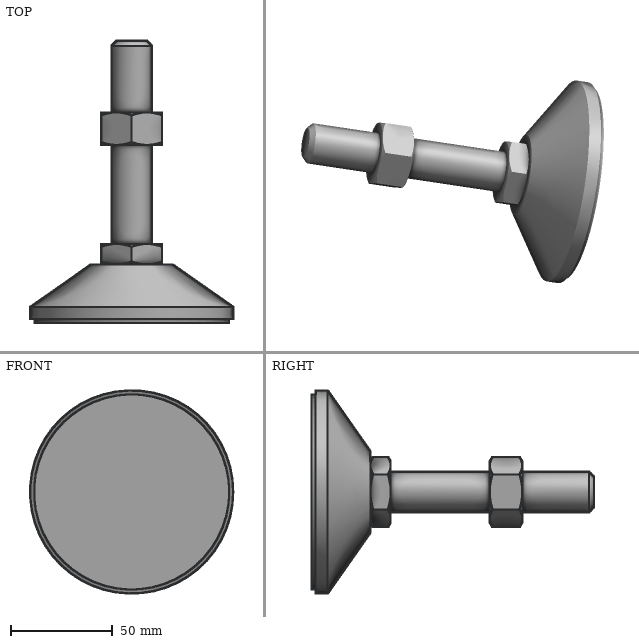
import cadquery as cq
import math


sole_diameter = 96.0
sole_height = 2.0
rim_diameter = 100.0
rim_height = 6.0
cone_top_diameter = 40.0
cone_height = 21.0

stem_diameter = 20.0
stem_end_chamfer = 2.5
overall_length = 139.0

across_flats = 30.0
nut_chamfer_angle = 30.0
base_nut_height = 10.0
lock_nut_height = 16.0
gap_between_nuts = 48.7

rim_start = sole_height
cone_start = rim_start + rim_height
foot_top = cone_start + cone_height
base_nut_start = foot_top
lock_nut_start = base_nut_start + base_nut_height + gap_between_nuts


def revolve_about_y(points):
    """Solid of revolution about the Y axis from (radius, y) points."""
    profile = cq.Workplane("XY").polyline(points).close()
    return profile.revolve(360, (0, 0, 0), (0, 1, 0))


def make_foot():
    """Stepped sole, straight rim and cone narrowing towards the stem."""
    sole_radius = sole_diameter / 2
    rim_radius = rim_diameter / 2
    return revolve_about_y([
        (0, 0),
        (sole_radius, 0),
        (sole_radius, rim_start),
        (rim_radius, rim_start),
        (rim_radius, cone_start),
        (cone_top_diameter / 2, foot_top),
        (0, foot_top),
    ])


def make_stem():
    """Plain round stem from the foot top, chamfered at its free end."""
    radius = stem_diameter / 2
    return revolve_about_y([
        (0, foot_top),
        (radius, foot_top),
        (radius, overall_length - stem_end_chamfer),
        (radius - stem_end_chamfer, overall_length),
        (0, overall_length),
    ])


def make_nut(start, height):
    """Hexagon with flats facing +X and -X, its corners turned conical at both ends."""
    flat_radius = across_flats / 2
    corner_radius = flat_radius / math.cos(math.pi / 6)
    corner_drop = (corner_radius - flat_radius) * math.tan(math.radians(nut_chamfer_angle))
    end = start + height

    hexagon = (
        cq.Workplane("XZ", origin=(0, start, 0))
        .transformed(rotate=(0, 0, 90))
        .polygon(6, 2 * corner_radius)
        .extrude(-height)
    )
    turned_envelope = revolve_about_y([
        (0, start),
        (flat_radius, start),
        (corner_radius, start + corner_drop),
        (corner_radius, end - corner_drop),
        (flat_radius, end),
        (0, end),
    ])
    return hexagon.intersect(turned_envelope)


result = (
    make_foot()
    .union(make_stem())
    .union(make_nut(base_nut_start, base_nut_height))
    .union(make_nut(lock_nut_start, lock_nut_height))
)